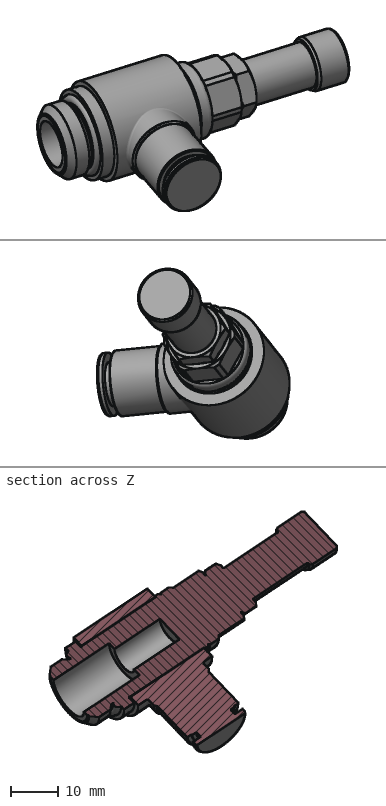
import cadquery as cq
import math


barrel_radius = 11.0
barrel_start = 10.0
barrel_length = 20.0
barrel_end = barrel_start + barrel_length
bore_radius = 8.15

branch_y = barrel_start + barrel_length / 2
branch_root_radius = 7.5
branch_root_end = 13.5
branch_root_chamfer = 0.4
branch_radius = 7.0
branch_end = 23.8
branch_chamfer = 0.2
branch_boss_radius = 5.7
branch_boss_end = 24.0
branch_fillet = 0.4

sleeve_neck_radius = 4.7
sleeve_flange_radius = 6.7
sleeve_flange_start = 25.35
sleeve_end = 26.65
sleeve_chamfer_length = 0.4
sleeve_end_radius = 6.45

lip_height = 0.15
lip_radius = 6.25
lip_base_radius = 6.4
thread_radius = 8.2
thread_tip_radius = 6.7
thread_tip_end = 1.7
thread_end = 4.75
undercut_radius = 7.3
undercut_start = 5.8

seal_radius = 9.0
seal_section_radius = 1.0
flange_radius = 10.0
flange_start = 7.0
flange_gap = 0.2
flange_end = barrel_start - flange_gap

ring_radius = 8.6
ring_end = 31.2
collar_start = 31.4
collar_radius = 8.4
collar_straight_end = 33.05
collar_end = 34.35
collar_end_radius = 7.75

hex_half_angle = 30
hex_chamfer_angle = 30
hex_flats = 14.0
hex_corner_radius = 7.75
hex_end = 41.7
nut_flats = 12.0
nut_end = 45.75

rod_radius = 5.0
knob_start = 60.45
knob_end = 68.0
knob_radius = 6.0
knob_chamfer = 0.7
knob_base_radius = 5.65
knob_top_chamfer = 0.4

port_radius = 5.1
port_depth = 14.95
inner_port_radius = 3.25
inner_port_depth = 27.2


def cylinder_y(radius, start, end):
    """Cylinder on the Y axis between two Y positions."""
    return cq.Workplane("XZ", origin=(0, start, 0)).circle(radius).extrude(start - end)


def hexagon_y(flats, start, end):
    """Hexagonal prism on the Y axis, with corners on +X and -X and flats on +Z and -Z."""
    corner_diameter = flats / math.cos(math.radians(hex_half_angle))
    return cq.Workplane("XZ", origin=(0, start, 0)).polygon(6, corner_diameter).extrude(start - end)


def end_cone(flats, start, end, both_ends):
    """Round envelope that trims the hexagon corners down to the flats at one or both ends."""
    outer = flats / math.cos(math.radians(hex_half_angle)) / 2
    inner = flats / 2
    drop = (outer - inner) * math.tan(math.radians(hex_chamfer_angle))
    profile = cq.Workplane("XY").moveTo(0, start)
    if both_ends:
        profile = profile.lineTo(inner, start).lineTo(outer, start + drop)
    else:
        profile = profile.lineTo(outer, start)
    profile = profile.lineTo(outer, end - drop).lineTo(inner, end).lineTo(0, end).close()
    return profile.revolve(360, (0, 0, 0), (0, 1, 0))


def make_branch_root():
    """Wide foot of the branch, from the barrel axis outward."""
    root = (
        cq.Workplane("YZ", origin=(0, branch_y, 0))
        .circle(branch_root_radius)
        .extrude(branch_root_end)
    )
    return root.faces(">X").chamfer(branch_root_chamfer)


def make_branch_tip():
    """Branch barrel and release sleeve, turned about the branch axis."""
    profile = (
        cq.Workplane("XY")
        .moveTo(barrel_radius, branch_y)
        .lineTo(barrel_radius, branch_y + branch_radius)
        .lineTo(branch_end - branch_chamfer, branch_y + branch_radius)
        .lineTo(branch_end, branch_y + branch_radius - branch_chamfer)
        .lineTo(branch_end, branch_y + branch_boss_radius)
        .lineTo(branch_boss_end, branch_y + branch_boss_radius)
        .lineTo(branch_boss_end, branch_y + sleeve_neck_radius)
        .lineTo(sleeve_flange_start, branch_y + sleeve_neck_radius)
        .lineTo(sleeve_flange_start, branch_y + sleeve_flange_radius)
        .lineTo(sleeve_end - sleeve_chamfer_length, branch_y + sleeve_flange_radius)
        .lineTo(sleeve_end, branch_y + sleeve_end_radius)
        .lineTo(sleeve_end, branch_y)
        .close()
    )
    return profile.revolve(360, (0, branch_y, 0), (1, branch_y, 0))


def make_swivel():
    """Barrel and branch in one piece, bored through for the stem."""
    swivel = cylinder_y(barrel_radius, barrel_start, barrel_end).union(make_branch_root())
    joint = cq.selectors.BoxSelector(
        (0, branch_y - branch_root_radius, -branch_root_radius),
        (barrel_radius, branch_y + branch_root_radius, branch_root_radius),
    )
    swivel = swivel.edges(joint).fillet(branch_fillet)
    swivel = swivel.union(make_branch_tip())
    return swivel.cut(cylinder_y(bore_radius, barrel_start, barrel_end))


def make_lower_stem():
    """Turned part of the stem, from the threaded end to the collar."""
    round_45 = math.sqrt(0.5)
    seal_centre_radius = seal_radius - seal_section_radius
    seal_mid = (
        seal_centre_radius + seal_section_radius * round_45,
        flange_start - seal_section_radius * round_45,
    )
    seal_inner_drop = math.sqrt(seal_section_radius**2 - (seal_centre_radius - undercut_radius) ** 2)
    seal_inner_end = flange_start - seal_inner_drop
    collar_mid = (
        collar_end_radius + (collar_radius - collar_end_radius) * round_45,
        collar_straight_end + (collar_end - collar_straight_end) * round_45,
    )
    profile = (
        cq.Workplane("XY")
        .moveTo(0, 0)
        .lineTo(lip_radius, 0)
        .lineTo(lip_base_radius, lip_height)
        .lineTo(thread_tip_radius, lip_height)
        .lineTo(thread_radius, thread_tip_end)
        .lineTo(thread_radius, thread_end)
        .lineTo(undercut_radius, undercut_start)
        .lineTo(undercut_radius, seal_inner_end)
        .threePointArc(seal_mid, (seal_radius, flange_start))
        .lineTo(flange_radius, flange_start)
        .lineTo(flange_radius, flange_end)
        .lineTo(bore_radius, flange_end)
        .lineTo(bore_radius, barrel_end)
        .threePointArc((ring_radius, (barrel_end + ring_end) / 2), (bore_radius, ring_end))
        .lineTo(bore_radius, collar_start)
        .lineTo(collar_radius, collar_start)
        .lineTo(collar_radius, collar_straight_end)
        .threePointArc(collar_mid, (collar_end_radius, collar_end))
        .lineTo(0, collar_end)
        .close()
    )
    return profile.revolve(360, (0, 0, 0), (0, 1, 0))


def make_hexagons():
    """Fixed hexagon with rounded corners, and the lock nut on top of it."""
    fixed_hex = (
        hexagon_y(hex_flats, collar_end, hex_end)
        .intersect(cylinder_y(hex_corner_radius, collar_end, hex_end))
        .intersect(end_cone(hex_flats, collar_end, hex_end, both_ends=False))
    )
    lock_nut = hexagon_y(nut_flats, hex_end, nut_end).intersect(
        end_cone(nut_flats, hex_end, nut_end, both_ends=True)
    )
    return fixed_hex.union(lock_nut)


def make_rod_and_knob():
    """Adjusting rod ending in a chamfered knob."""
    profile = (
        cq.Workplane("XY")
        .moveTo(0, nut_end)
        .lineTo(rod_radius, nut_end)
        .lineTo(rod_radius, knob_start)
        .lineTo(knob_base_radius, knob_start)
        .lineTo(knob_radius, knob_start + knob_chamfer)
        .lineTo(knob_radius, knob_end - knob_top_chamfer)
        .lineTo(knob_radius - knob_top_chamfer, knob_end)
        .lineTo(0, knob_end)
        .close()
    )
    return profile.revolve(360, (0, 0, 0), (0, 1, 0))


def make_stem():
    """Whole stem, with the stepped port bored into its threaded end."""
    stem = make_lower_stem().union(make_hexagons()).union(make_rod_and_knob())
    stem = stem.cut(cylinder_y(port_radius, 0, port_depth))
    return stem.cut(cylinder_y(inner_port_radius, port_depth, inner_port_depth))


swivel = make_swivel()
stem = make_stem()
result = cq.Compound.makeCompound([swivel.val(), stem.val()])